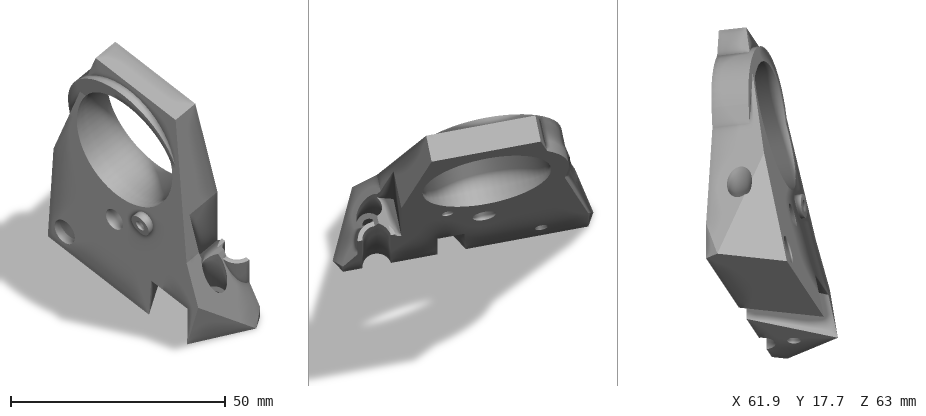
import math

import cadquery as cq


HEIGHT = 63.0
BASE_WIDTH = 61.85
BASE_DEPTH = 17.7
FRONT_LEAN = 10.0
TOP_LEFT_X = 13.1
TOP_RIGHT_X = 39.0
KNEE_X = 49.25
KNEE_Z = 23.6
TIP_DEPTH = 3.2
CORNER_ANGLE = 30.0

BORE_X = 25.9
BORE_Z = 43.0
BORE_DIAMETER = 30.5
RING_X = 24.3
RING_Z = 43.3
RING_RADIUS = 17.9
RING_DEPTH = 8.95
RING_TANGENT_ANGLE = 9.0
RING_TANGENT_LENGTH = 9.45

PIN_X = 35.2
PIN_Z = 26.1
PIN_DIAMETER = 5.6
PIN_HOLE_DIAMETER = 2.8
PIN_FACE_DEPTH = 14.55
PLAIN_HOLE_X = 26.5
PLAIN_HOLE_Z = 20.05
PLAIN_HOLE_DIAMETER = 5.5
SCREW_X = 13.0
SCREW_Z = 5.1
SCREW_HOLE_DIAMETER = 3.0
SCREW_HEAD_DIAMETER = 6.4
SCREW_HEAD_DEPTH = 1.6

ACCESS_DIAMETER = 6.0
ACCESS_DEPTH = 7.45
ACCESS_ANGLE = 58.4

SLOT_HEIGHT = 10.45
SLOT_LEFT_X = 41.15
SLOT_RIGHT_ANGLE = 42.0

POCKET_LEFT_X = 46.2
POCKET_LEFT_Z = 16.75
POCKET_DEPTH = 9.4
POCKET_FLOOR_RISE = 36.9
TUBE_X = 52.05
TUBE_BACK_OFFSET = 0.45
TUBE_DIAMETER = 9.0
TUBE_BORE_DIAMETER = 6.8
TUBE_TOP_Z = 18.65
BOLT_X = 52.35
BOLT_DEPTH = 7.45
BOLT_HOLE_DIAMETER = 3.2
BOLT_HEAD_DIAMETER = 6.0
BOLT_HEAD_FLOOR_Z = 7.55


def tangent(degrees):
    return math.tan(math.radians(degrees))


def toward(angle, length):
    """Offset of the given length at an angle in degrees from the first axis."""
    return length * math.cos(math.radians(angle)), length * math.sin(math.radians(angle))


def front_prism(points, depth):
    """Prism of an X-Z outline from the back face toward -Y."""
    return cq.Workplane("XZ").polyline(points).close().extrude(depth)


def plan_prism(points, height):
    """Prism of an X-Y outline from the base upward."""
    return cq.Workplane("XY").polyline(points).close().extrude(height)


def front_rod(x, z, diameter, depth):
    """Cylinder from the back face toward -Y."""
    return cq.Workplane("XZ").center(x, z).circle(diameter / 2).extrude(depth)


def upright_rod(x, depth, diameter, height):
    """Cylinder from the base upward, its axis at a distance in front of the back."""
    return cq.Workplane("XY").center(x, -depth).circle(diameter / 2).extrude(height)


def front_depth(z):
    """Depth of the leaning front face at height z."""
    return BASE_DEPTH - z * tangent(FRONT_LEAN)


def make_body():
    front_outline = [
        (0, 0), (BASE_WIDTH, 0), (KNEE_X, KNEE_Z), (TOP_RIGHT_X, HEIGHT), (TOP_LEFT_X, HEIGHT),
    ]
    side_outline = [
        (0, 0), (-BASE_DEPTH, 0), (-front_depth(HEIGHT), HEIGHT), (0, HEIGHT),
    ]
    back_inset = TIP_DEPTH * tangent(CORNER_ANGLE)
    front_inset = (BASE_DEPTH - TIP_DEPTH) * tangent(CORNER_ANGLE)
    base_outline = [
        (back_inset, 0), (0, -TIP_DEPTH), (front_inset, -BASE_DEPTH),
        (BASE_WIDTH - front_inset, -BASE_DEPTH), (BASE_WIDTH, -TIP_DEPTH),
        (BASE_WIDTH - back_inset, 0),
    ]
    leaning = cq.Workplane("YZ").polyline(side_outline).close().extrude(BASE_WIDTH)
    body = front_prism(front_outline, BASE_DEPTH)
    return body.intersect(leaning).intersect(plan_prism(base_outline, HEIGHT))


def make_ring():
    """Round boss whose left side runs on straight into the body."""
    out_x, out_z = toward(180 + RING_TANGENT_ANGLE, RING_RADIUS)
    down_x, down_z = toward(270 + RING_TANGENT_ANGLE, RING_TANGENT_LENGTH)
    start = (RING_X + out_x, RING_Z + out_z)
    end = (start[0] + down_x, start[1] + down_z)
    straight_side = front_prism([(RING_X, RING_Z), start, end], RING_DEPTH)
    return front_rod(RING_X, RING_Z, 2 * RING_RADIUS, RING_DEPTH).union(straight_side)


def make_screw_hole():
    """Through hole with a straight head recess that ends in a 90 degree cone."""
    hole_radius = SCREW_HOLE_DIAMETER / 2
    head_radius = SCREW_HEAD_DIAMETER / 2
    cone_mouth = front_depth(SCREW_Z) - SCREW_HEAD_DEPTH
    cone_tip = cone_mouth - (head_radius - hole_radius)
    profile = [
        (0, 0), (hole_radius, 0), (hole_radius, -cone_tip), (head_radius, -cone_mouth),
        (head_radius, -BASE_DEPTH), (0, -BASE_DEPTH),
    ]
    hole = cq.Workplane("XY").polyline(profile).close().revolve(360, (0, 0), (0, 1))
    return hole.translate((SCREW_X, 0, SCREW_Z))


def make_access_hole():
    """Hole that slopes down from the left side to the axis of the screw hole."""
    up_x, up_z = toward(180 - ACCESS_ANGLE, 1)
    axis = cq.Plane(
        origin=(SCREW_X, -ACCESS_DEPTH, SCREW_Z), xDir=(0, 1, 0), normal=(up_x, 0, up_z)
    )
    return cq.Workplane(axis).circle(ACCESS_DIAMETER / 2).extrude(HEIGHT / 2)


def make_slot():
    """Slot through the base from front to back, open below."""
    right_x = BASE_WIDTH - (BASE_DEPTH - TIP_DEPTH) * tangent(CORNER_ANGLE)
    outline = [
        (SLOT_LEFT_X, -BASE_DEPTH),
        (right_x, -BASE_DEPTH),
        (right_x - BASE_DEPTH * tangent(SLOT_RIGHT_ANGLE), 0),
        (SLOT_LEFT_X - BASE_DEPTH * tangent(CORNER_ANGLE), 0),
    ]
    return plan_prism(outline, SLOT_HEIGHT)


def make_pocket():
    """Pocket behind the right side with an upright wall and a rising floor."""
    floor_end_z = POCKET_LEFT_Z + (BASE_WIDTH - POCKET_LEFT_X) * tangent(POCKET_FLOOR_RISE)
    outline = [
        (POCKET_LEFT_X, POCKET_LEFT_Z), (BASE_WIDTH, floor_end_z),
        (BASE_WIDTH, HEIGHT), (POCKET_LEFT_X, HEIGHT),
    ]
    return front_prism(outline, POCKET_DEPTH)


def make_tube():
    """Part of an upright tube that lies in front of the back face."""
    rod = upright_rod(TUBE_X, -TUBE_BACK_OFFSET, TUBE_DIAMETER, TUBE_TOP_Z)
    in_front = cq.Workplane("XY").box(BASE_WIDTH, BASE_DEPTH, HEIGHT, centered=False)
    return rod.intersect(in_front.translate((0, -BASE_DEPTH, 0)))


def make_bolt_hole():
    hole = upright_rod(BOLT_X, BOLT_DEPTH, BOLT_HOLE_DIAMETER, HEIGHT)
    head = upright_rod(BOLT_X, BOLT_DEPTH, BOLT_HEAD_DIAMETER, HEIGHT)
    return hole.union(head.translate((0, 0, BOLT_HEAD_FLOOR_Z)))


result = make_body().cut(make_pocket())
result = result.union(make_ring()).union(make_tube())
result = result.union(front_rod(PIN_X, PIN_Z, PIN_DIAMETER, PIN_FACE_DEPTH))

result = result.cut(front_rod(BORE_X, BORE_Z, BORE_DIAMETER, BASE_DEPTH))
result = result.cut(front_rod(PIN_X, PIN_Z, PIN_HOLE_DIAMETER, BASE_DEPTH))
result = result.cut(front_rod(PLAIN_HOLE_X, PLAIN_HOLE_Z, PLAIN_HOLE_DIAMETER, BASE_DEPTH))
result = result.cut(upright_rod(TUBE_X, -TUBE_BACK_OFFSET, TUBE_BORE_DIAMETER, HEIGHT))
for cutter in (make_screw_hole(), make_access_hole(), make_slot(), make_bolt_hole()):
    result = result.cut(cutter)